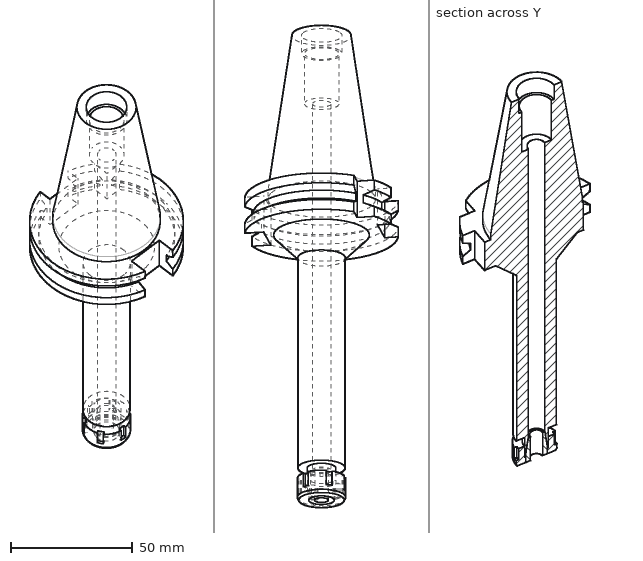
import cadquery as cq
import math

total_length = 203.5
taper_length = 68.3
collar_height = 3.3
flange_height = 15.9
cone_angle = 45.0
shank_end_z = 14.0

gauge_z = total_length - taper_length
flange_top_z = gauge_z - collar_height
flange_bottom_z = flange_top_z - flange_height

flange_radius = 31.7
gauge_radius = 22.2
taper_ratio = 7 / 24
taper_top_radius = gauge_radius - taper_length * taper_ratio / 2
cone_radius = 19.7
shank_radius = 9.8
neck_radius = 6.0
cone_bottom_z = flange_bottom_z - (cone_radius - shank_radius) / math.tan(math.radians(cone_angle))

groove_root_radius = 28.0
groove_root_width = 3.5
groove_mouth_width = 7.3
groove_drop = 8.0

drive_slot_width = 16.0
left_slot_floor = 25.0
right_slot_floor = 22.8
notch_wall = 18.5

pilot_radius = 8.3
pilot_depth = 8.0
thread_radius = 7.1
thread_depth = 30.0
coolant_radius = 3.9

collet_radius = 5.3
collet_bore_radius = 2.8
collet_angle = 8.0
collet_base_height = 3.0
collet_taper_height = (collet_radius - coolant_radius) / math.tan(math.radians(collet_angle))
collet_top_z = collet_base_height + collet_taper_height

nut_radius = 10.0
nut_height = 9.5
nut_chamfer_height = 1.2
nut_chamfer_width = 0.6
wrench_slot_count = 6
wrench_slot_width = 2.6
wrench_slot_length = 6.1
wrench_slot_depth = 1.2


def cylinder(radius, bottom_z, top_z):
    return cq.Workplane("XY").workplane(offset=bottom_z).circle(radius).extrude(top_z - bottom_z)


def revolved(profile):
    """Revolve a closed (radius, z) outline about the Z axis."""
    return cq.Workplane("XZ").polyline(profile).close().revolve(360, (0, 0), (0, 1))


def box_between(x_range, y_range, z_range):
    """Axis-aligned box spanning the given ranges."""
    lengths = [high - low for low, high in (x_range, y_range, z_range)]
    corner = (x_range[0], y_range[0], z_range[0])
    return cq.Workplane("XY").box(*lengths, centered=False).translate(corner)


def holder_blank():
    """Taper, grooved flange, cone, shank and neck as one turned profile."""
    groove_z = flange_top_z - groove_drop
    return revolved([
        (0, total_length),
        (taper_top_radius, total_length),
        (gauge_radius, gauge_z),
        (gauge_radius, flange_top_z),
        (flange_radius, flange_top_z),
        (flange_radius, groove_z + groove_mouth_width / 2),
        (groove_root_radius, groove_z + groove_root_width / 2),
        (groove_root_radius, groove_z - groove_root_width / 2),
        (flange_radius, groove_z - groove_mouth_width / 2),
        (flange_radius, flange_bottom_z),
        (cone_radius, flange_bottom_z),
        (shank_radius, cone_bottom_z),
        (shank_radius, shank_end_z),
        (neck_radius, shank_end_z),
        (neck_radius, collet_base_height),
        (0, collet_base_height),
    ])


def cut_flange_slots(body):
    """Two drive slots of unequal depth and the corner orientation notch."""
    flange_z = (flange_bottom_z, flange_top_z)
    slot_y = (-drive_slot_width / 2, drive_slot_width / 2)
    left_slot = box_between((-flange_radius, -left_slot_floor), slot_y, flange_z)
    right_slot = box_between((right_slot_floor, flange_radius), slot_y, flange_z)
    notch = box_between((-flange_radius, -notch_wall), (notch_wall, flange_radius), flange_z)
    return body.cut(left_slot).cut(right_slot).cut(notch)


def cut_holder_bores(body):
    """Pilot, thread core and coolant bore from the taper end, collet seat in the neck."""
    pilot = cylinder(pilot_radius, total_length - pilot_depth, total_length)
    thread = cylinder(thread_radius, total_length - thread_depth, total_length)
    coolant = cylinder(coolant_radius, collet_base_height, total_length)
    return body.cut(pilot).cut(thread).cut(coolant).cut(collet_outline())


def collet_outline():
    """Solid collet shape: a straight base below a slender cone."""
    return revolved([
        (0, 0),
        (collet_radius, 0),
        (collet_radius, collet_base_height),
        (coolant_radius, collet_top_z),
        (0, collet_top_z),
    ])


def make_holder():
    return cut_holder_bores(cut_flange_slots(holder_blank()))


def make_collet():
    return collet_outline().cut(cylinder(collet_bore_radius, 0, collet_top_z))


def make_nut():
    """Ring with a bevelled lower rim, bored for neck and collet, with wrench slots round the side."""
    nut_body = revolved([
        (collet_radius, 0),
        (nut_radius - nut_chamfer_width, 0),
        (nut_radius, nut_chamfer_height),
        (nut_radius, nut_height),
        (neck_radius, nut_height),
        (neck_radius, collet_base_height),
        (collet_radius, collet_base_height),
    ])
    wrench_slot = box_between(
        (nut_radius - wrench_slot_depth, nut_radius),
        (-wrench_slot_width / 2, wrench_slot_width / 2),
        (nut_height - wrench_slot_length, nut_height),
    )
    for index in range(wrench_slot_count):
        angle = index * 360 / wrench_slot_count
        nut_body = nut_body.cut(wrench_slot.rotate((0, 0, 0), (0, 0, 1), angle))
    return nut_body


holder = make_holder()
collet = make_collet()
nut = make_nut()

result = cq.Compound.makeCompound([holder.val(), collet.val(), nut.val()])